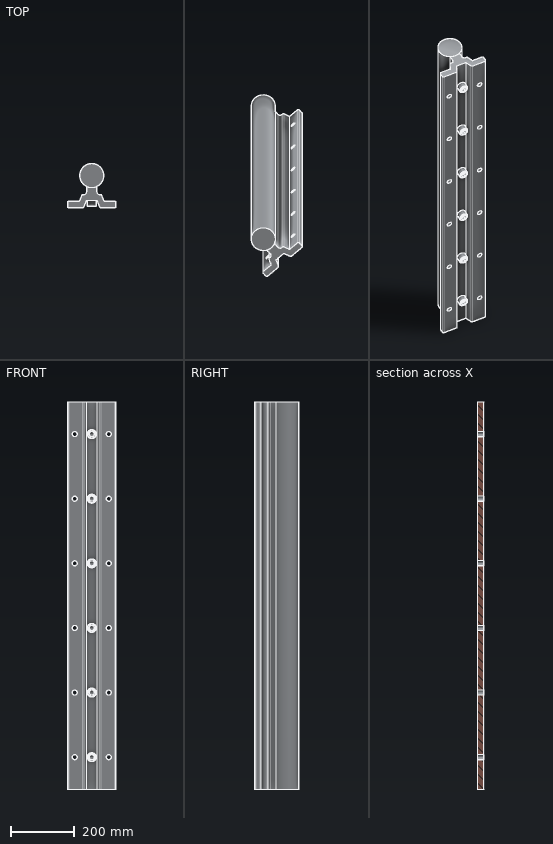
import cadquery as cq
import math

length = 1219.2
shaft_diameter = 76.2
shaft_center_height = 101.6

base_width = 152.4
flange_thickness = 21.0
flange_edge_radius = 4.0
neck_width = 33.0
neck_fillet = 8.3
shoulder_width = 61.0
shoulder_height = 41.8
shoulder_radius = 3.2
web_foot_width = 77.5
slot_roof_width = 33.0
slot_mouth_width = 51.0
slot_depth = 22.9
slot_mouth_radius = 4.8

station_count = 6
station_pitch = length / station_count
mounting_hole_diameter = 15.1
mounting_hole_spacing = 107.0
screw_diameter = 19.05
head_diameter = 28.575
head_height = screw_diameter
socket_across_flats = 15.875
socket_depth = 9.5
drill_point_depth = 4.6
head_chamfer = 2.0
thread_depth_in_shaft = 1.5 * screw_diameter

shaft_bottom_height = shaft_center_height - shaft_diameter / 2
screw_tip_height = shaft_bottom_height + thread_depth_in_shaft
head_face_height = slot_depth - head_height
station_heights = [(i + 0.5) * station_pitch for i in range(station_count)]


def cylinder_along_y(diameter, x, z, start, end):
    """Cylinder parallel to Y between two heights above the base."""
    return cq.Workplane(
        cq.Solid.makeCylinder(diameter / 2, end - start, cq.Vector(x, start, z), cq.Vector(0, 1, 0))
    )


def fillet_pair(body, point, radius):
    """Round the two mirrored lengthwise edges that pass through a section point."""
    x, y = point
    for side in (-1, 1):
        edge = cq.selectors.NearestToPointSelector((side * x, y, length / 2))
        body = body.edges(edge).fillet(radius)
    return body


def shaft_cylinder():
    """Plain round bar, also used to shape the cradle in the rail."""
    return cq.Workplane("XY").center(0, shaft_center_height).circle(shaft_diameter / 2).extrude(length)


def make_shaft():
    """Round shaft with a blind hole for each screw."""
    shaft = shaft_cylinder()
    for z in station_heights:
        shaft = shaft.cut(cylinder_along_y(screw_diameter, 0, z, shaft_bottom_height, screw_tip_height))
    return shaft


def make_rail():
    """Extruded support rail with a cradle for the shaft, screw holes and mounting holes."""
    slot_mouth = (slot_mouth_width / 2, 0)
    base_edge = (base_width / 2, 0)
    flange_edge = (base_width / 2, flange_thickness)
    web_foot = (web_foot_width / 2, flange_thickness)
    shoulder = (shoulder_width / 2, shoulder_height)
    neck_root = (neck_width / 2, shoulder_height)
    neck_top = (neck_width / 2, shaft_center_height)
    slot_roof = (slot_roof_width / 2, slot_depth)
    half = [slot_roof, slot_mouth, base_edge, flange_edge, web_foot, shoulder, neck_root, neck_top]
    mirrored = [(-x, y) for x, y in reversed(half)]
    rail = cq.Workplane("XY").polyline(half + mirrored).close().extrude(length)
    rail = fillet_pair(rail, slot_mouth, slot_mouth_radius)
    rail = fillet_pair(rail, base_edge, flange_edge_radius)
    rail = fillet_pair(rail, flange_edge, flange_edge_radius)
    rail = fillet_pair(rail, shoulder, shoulder_radius)
    rail = fillet_pair(rail, neck_root, neck_fillet)
    rail = rail.cut(shaft_cylinder())

    for z in station_heights:
        rail = rail.cut(cylinder_along_y(screw_diameter, 0, z, 0, shaft_center_height))
        for side in (-1, 1):
            x = side * mounting_hole_spacing / 2
            rail = rail.cut(cylinder_along_y(mounting_hole_diameter, x, z, 0, flange_thickness))
    return rail


def make_screw(z):
    """Socket head cap screw with its head seated on the slot roof."""
    head = cylinder_along_y(head_diameter, 0, z, head_face_height, slot_depth)
    shank = cylinder_along_y(screw_diameter, 0, z, slot_depth, screw_tip_height)
    socket_diameter = socket_across_flats / math.cos(math.pi / 6)
    socket = (
        cq.Workplane("XZ", origin=(0, head_face_height, z))
        .polygon(6, socket_diameter)
        .extrude(-socket_depth)
    )
    socket_bottom = head_face_height + socket_depth
    drill_point = cq.Workplane(
        cq.Solid.makeCone(
            socket_across_flats / 2,
            0,
            drill_point_depth,
            cq.Vector(0, socket_bottom, z),
            cq.Vector(0, 1, 0),
        )
    )
    head = head.faces("<Y").chamfer(head_chamfer)
    return head.union(shank).cut(socket).cut(drill_point)


shaft = make_shaft()
rail = make_rail()
screws = [make_screw(z) for z in station_heights]

result = cq.Compound.makeCompound([shaft.val(), rail.val(), *[screw.val() for screw in screws]])